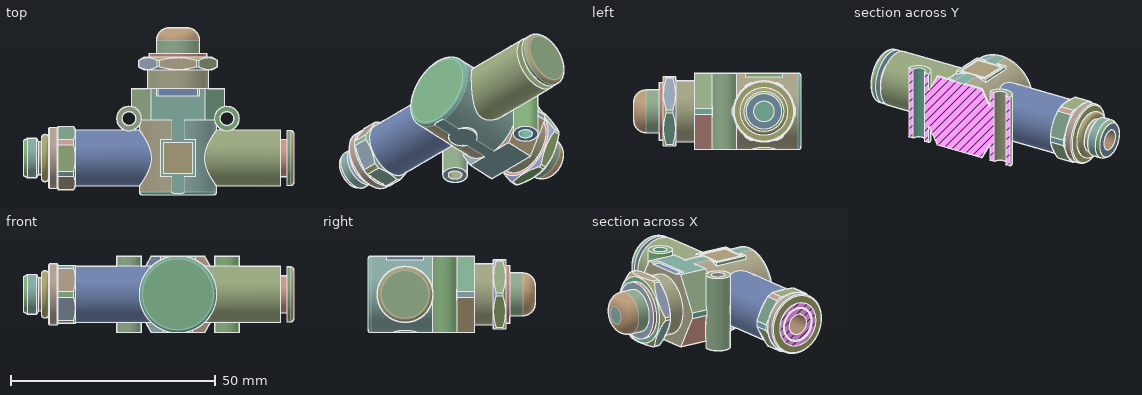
import cadquery as cq
import math


FITTING_TIP_X = -37.8
FLANGE_START_X = -31.65
FLANGE_END_X = -29.3
TUBE_START_X = -25.0
TUBE_END_X = 25.1
COLLAR_FLANGE_X = 26.6
COLLAR_END_X = 28.4

HALF_HEIGHT = 9.35
TUBE_DIA = 13.8
BARREL_DIA = 18.95
BARREL_FRONT_Y = -9.1
BARREL_FILLET = 0.8
BLOCK_START_Y = 9.35
BLOCK_END_Y = 17.0
BLOCK_FLAT_HALF_WIDTH = 6.55
BLOCK_HALF_WIDTH = 11.4
BLOCK_SIDE_HALF_HEIGHT = 0.7
EAR_X = 12.0
EAR_Y = 9.65
EAR_DIA = 6.0
EAR_HOLE_DIA = 3.3
PAD_WIDTH = 8.5
PAD_LENGTH = 9.0
PAD_BORDER = 0.7
PAD_RECESS_DEPTH = 0.2
DISC_DIA = 7.0
NOTCH_WIDTH = 10.45
NOTCH_LENGTH = 1.8
NOTCH_DEPTH = 0.4

NECK_DIA = 15.0
NUT_SEAT_Y = 21.5
NUT_THICKNESS = 3.2
STEM_DIA = 14.15
STEM_END_Y = 25.6
KNOB_DIA = 10.6
KNOB_END_Y = 31.9
KNOB_DOME_RADIUS = 3.1

NUT_ACROSS_FLATS = 17.0
NUT_CORNER_WIDTH = 0.7
NUT_FACE_DIA = 16.55

THREAD_DIA = 9.7
THREAD_LENGTH = 3.25
THREAD_CHAMFER_LENGTH = 1.0
THREAD_TIP_DIA = 8.7
FITTING_NECK_DIA = 8.2
RUNOUT_LENGTH = 0.4
BEAD_DIA = 11.65
BEAD_RADIUS = 0.9
BEAD_TO_FLANGE = 0.85
FITTING_FLANGE_DIA = 15.0
FITTING_FLANGE_CHAMFER = 0.25
FITTING_ACROSS_FLATS = 14.15
FITTING_CORNER_WIDTH = 1.45
FITTING_HEX_FACE_DIA = 13.85
FITTING_BORE_DIA = 5.0

COLLAR_NECK_DIA = 9.2
COLLAR_FLANGE_DIA = 13.6
COLLAR_FILLET = 0.9

HEX_BEVEL_ANGLE = 30


def cylinder_x(diameter, start_x, end_x):
    return cq.Workplane("YZ", origin=(start_x, 0, 0)).circle(diameter / 2).extrude(end_x - start_x)


def cylinder_y(diameter, start_y, end_y):
    return cq.Workplane("XZ", origin=(0, end_y, 0)).circle(diameter / 2).extrude(end_y - start_y)


def cylinder_z(diameter, x, y, start_z, end_z):
    return cq.Workplane("XY", origin=(x, y, start_z)).circle(diameter / 2).extrude(end_z - start_z)


def hexagon(across_flats, corner_width, height):
    """Hexagonal prism along Z, flats facing +-Y, its six corners cut flat to the given width."""
    corner_radius = across_flats / 2 / math.cos(math.pi / 6)
    corner_cut = corner_width / 2 / math.tan(math.pi / 3)
    cut_across = 2 * (corner_radius - corner_cut)
    prism = cq.Workplane("XY").polygon(6, 2 * corner_radius).extrude(height)
    trimmer = cq.Workplane("XY").polygon(6, cut_across, circumscribed=True).extrude(height)
    return prism.intersect(trimmer)


def bevel_envelope(face_dia, height, both_ends):
    """Turned shape along Z that bevels the corners of a hexagon at its top, or at both ends."""
    face_radius = face_dia / 2
    bevel_depth = height / 2
    outer_radius = face_radius + bevel_depth / math.tan(math.radians(HEX_BEVEL_ANGLE))
    bottom_radius = face_radius if both_ends else outer_radius
    return (
        cq.Workplane("XZ")
        .moveTo(0, 0)
        .lineTo(bottom_radius, 0)
        .lineTo(outer_radius, bevel_depth)
        .lineTo(face_radius, height)
        .lineTo(0, height)
        .close()
        .revolve(360, (0, 0, 0), (0, 1, 0))
    )


def make_barrel():
    """Round barrel on the valve axis with its crown and base trimmed to narrow flats."""
    barrel = cylinder_y(BARREL_DIA, BARREL_FRONT_Y, BLOCK_START_Y)
    barrel = barrel.faces("<Y").edges().fillet(BARREL_FILLET)
    slab = cq.Workplane("XY").box(2 * BARREL_DIA, 2 * BARREL_DIA, 2 * HALF_HEIGHT)
    return barrel.intersect(slab)


def make_block():
    """Wide six-sided block behind the barrel, its two side corners cut flat."""
    upper_right = [
        (BLOCK_FLAT_HALF_WIDTH, HALF_HEIGHT),
        (BLOCK_HALF_WIDTH, BLOCK_SIDE_HALF_HEIGHT),
    ]
    right = upper_right + [(x, -z) for x, z in reversed(upper_right)]
    left = [(-x, -z) for x, z in right]
    block = (
        cq.Workplane("XZ", origin=(0, BLOCK_END_Y, 0))
        .polyline(right + left)
        .close()
        .extrude(BLOCK_END_Y - BLOCK_START_Y)
    )
    return block.cut(make_notch())


def make_notch():
    """Shallow recess in the top rear edge of the block, with 45 degree end walls."""
    floor_half_width = NOTCH_WIDTH / 2 - NOTCH_DEPTH
    return (
        cq.Workplane("XZ", origin=(0, BLOCK_END_Y, 0))
        .polyline([
            (-NOTCH_WIDTH / 2, HALF_HEIGHT),
            (-floor_half_width, HALF_HEIGHT - NOTCH_DEPTH),
            (floor_half_width, HALF_HEIGHT - NOTCH_DEPTH),
            (NOTCH_WIDTH / 2, HALF_HEIGHT),
        ])
        .close()
        .extrude(NOTCH_LENGTH)
    )


def make_pad():
    """Square label pad on the crown, flush with the top of the block."""
    return cq.Workplane("XY").rect(PAD_WIDTH, PAD_LENGTH).extrude(HALF_HEIGHT)


def make_pad_recess():
    """Shallow recess inside the border of the label pad."""
    return (
        cq.Workplane("XY", origin=(0, 0, HALF_HEIGHT))
        .rect(PAD_WIDTH - 2 * PAD_BORDER, PAD_LENGTH - 2 * PAD_BORDER)
        .extrude(-PAD_RECESS_DEPTH)
    )


def make_knob():
    """Round knob with a domed shoulder around its flat top."""
    knob = cylinder_y(KNOB_DIA, STEM_END_Y, KNOB_END_Y)
    return knob.faces(">Y").edges().fillet(KNOB_DOME_RADIUS)


def make_stem_and_knob():
    """Neck, nut seat and domed knob along the valve axis."""
    neck = cylinder_y(NECK_DIA, BLOCK_END_Y, NUT_SEAT_Y)
    stem = cylinder_y(STEM_DIA, NUT_SEAT_Y, STEM_END_Y)
    return neck.union(stem).union(make_knob())


def make_housing():
    housing = make_barrel().union(make_block()).union(make_pad())
    housing = housing.union(cylinder_x(TUBE_DIA, TUBE_START_X, TUBE_END_X))
    housing = housing.union(cylinder_z(DISC_DIA, 0, 0, -HALF_HEIGHT, 0))
    housing = housing.union(make_stem_and_knob())
    for ear_x in (-EAR_X, EAR_X):
        housing = housing.union(cylinder_z(EAR_DIA, ear_x, EAR_Y, -HALF_HEIGHT, HALF_HEIGHT))
    for ear_x in (-EAR_X, EAR_X):
        housing = housing.cut(cylinder_z(EAR_HOLE_DIA, ear_x, EAR_Y, -HALF_HEIGHT, HALF_HEIGHT))
    return housing.cut(make_pad_recess())


def make_nut():
    """Lock nut seated on the shoulder between neck and stem."""
    nut = hexagon(NUT_ACROSS_FLATS, NUT_CORNER_WIDTH, NUT_THICKNESS)
    nut = nut.intersect(bevel_envelope(NUT_FACE_DIA, NUT_THICKNESS, True))
    nut = nut.cut(cylinder_z(STEM_DIA, 0, 0, 0, NUT_THICKNESS))
    return nut.rotate((0, 0, 0), (1, 0, 0), -90).translate((0, NUT_SEAT_Y, 0))


def make_fitting():
    """Threaded male end with sealing bead, flange and wrench hexagon."""
    thread_end_x = FITTING_TIP_X + THREAD_LENGTH
    flange_radius = FITTING_FLANGE_DIA / 2
    bead_x = FLANGE_START_X - BEAD_TO_FLANGE
    turned = (
        cq.Workplane("XY")
        .moveTo(FITTING_TIP_X, 0)
        .lineTo(FITTING_TIP_X, THREAD_TIP_DIA / 2)
        .lineTo(FITTING_TIP_X + THREAD_CHAMFER_LENGTH, THREAD_DIA / 2)
        .lineTo(thread_end_x, THREAD_DIA / 2)
        .lineTo(thread_end_x + RUNOUT_LENGTH, FITTING_NECK_DIA / 2)
        .lineTo(FLANGE_START_X, FITTING_NECK_DIA / 2)
        .lineTo(FLANGE_START_X, flange_radius - FITTING_FLANGE_CHAMFER)
        .lineTo(FLANGE_START_X + FITTING_FLANGE_CHAMFER, flange_radius)
        .lineTo(FLANGE_END_X - FITTING_FLANGE_CHAMFER, flange_radius)
        .lineTo(FLANGE_END_X, flange_radius - FITTING_FLANGE_CHAMFER)
        .lineTo(FLANGE_END_X, 0)
        .close()
        .revolve(360, (0, 0, 0), (1, 0, 0))
    )
    bead = (
        cq.Workplane("XY")
        .center(bead_x, BEAD_DIA / 2 - BEAD_RADIUS)
        .circle(BEAD_RADIUS)
        .revolve(360, (0, BEAD_RADIUS - BEAD_DIA / 2, 0), (1, BEAD_RADIUS - BEAD_DIA / 2, 0))
    )
    hex_length = TUBE_START_X - FLANGE_END_X
    wrench_hex = hexagon(FITTING_ACROSS_FLATS, FITTING_CORNER_WIDTH, hex_length)
    wrench_hex = wrench_hex.intersect(bevel_envelope(FITTING_HEX_FACE_DIA, hex_length, False))
    wrench_hex = wrench_hex.rotate((0, 0, 0), (0, 1, 0), 90).rotate((0, 0, 0), (1, 0, 0), 90)
    wrench_hex = wrench_hex.translate((FLANGE_END_X, 0, 0))
    bore = cylinder_x(FITTING_BORE_DIA, FITTING_TIP_X, TUBE_START_X)
    return turned.union(bead).union(wrench_hex).cut(bore)


def make_collar():
    """Release collar: a narrow neck against the tube end and a rounded flange."""
    flange = cylinder_x(COLLAR_FLANGE_DIA, COLLAR_FLANGE_X, COLLAR_END_X)
    flange = flange.faces(">X").edges().fillet(COLLAR_FILLET)
    return flange.union(cylinder_x(COLLAR_NECK_DIA, TUBE_END_X, COLLAR_FLANGE_X))


housing = make_housing()
nut = make_nut()
fitting = make_fitting()
collar = make_collar()

result = cq.Compound.makeCompound([housing.val(), nut.val(), fitting.val(), collar.val()])